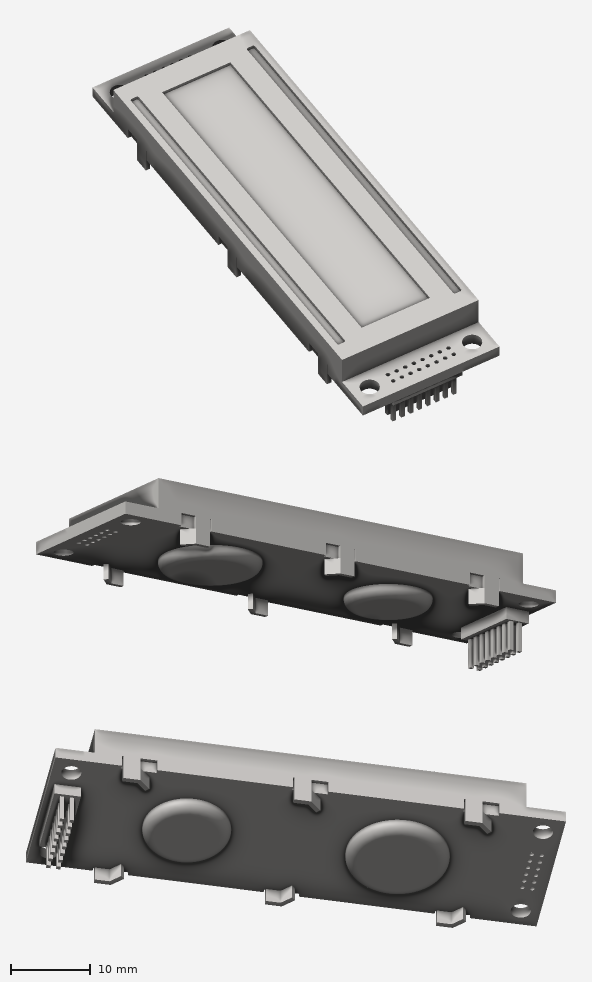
import cadquery as cq
import math


board_length = 65.0
module_width = 20.0
board_thickness = 1.6
bezel_length = 55.0
bezel_height = 3.95
sheet_thickness = 0.5
bezel_top = board_thickness + bezel_height
front_y = -module_width / 2

window_length = 48.0
window_width = 10.0
groove_length = 50.0
groove_width = 1.2
groove_offset = 8.5
groove_corner_radius = 0.25

tab_pitch = 21.8
notch_width = 4.5
tab_drop = 2.0
tab_left = -0.05
tab_right = 2.1
tab_thickness = 0.65
bend_reach = 1.4

end_offset = 30.0
mount_spacing = 15.0
mount_diameter = 2.55
pin_pitch = 1.27
pin_columns = 2
contact_rows = 6
header_rows = 8
contact_diameter = 0.6
header_width = 3.4
header_height = 1.55
pin_side = 0.5
pin_drop = 5.3

blobs = [(-12.95, 6.55), (13.9, 5.6)]
blob_height = 1.55
blob_edge_radius = 1.4


def block(length, width, bottom, top):
    """Block centred on X and Y between two heights."""
    base = cq.Workplane("XY").workplane(offset=bottom)
    return base.rect(length, width).extrude(top - bottom)


def pin_grid(center_x, rows, bottom):
    """Workplane holding the points of a two-column pin pattern."""
    base = cq.Workplane("XY", origin=(center_x, 0, bottom))
    return base.rarray(pin_pitch, pin_pitch, pin_columns, rows)


def make_board():
    board = block(board_length, module_width, 0, board_thickness)
    mount_holes = (
        cq.Workplane("XY")
        .rarray(2 * end_offset, mount_spacing, 2, 2)
        .circle(mount_diameter / 2)
        .extrude(board_thickness)
    )
    board = board.cut(mount_holes)
    for center_x, rows in [(-end_offset, contact_rows), (end_offset, header_rows)]:
        holes = pin_grid(center_x, rows, 0).circle(contact_diameter / 2)
        board = board.cut(holes.extrude(board_thickness))
    return board


def make_bezel():
    bezel = block(bezel_length, module_width, board_thickness, bezel_top)
    recess_floor = bezel_top - sheet_thickness
    bezel = bezel.cut(block(window_length, window_width, recess_floor, bezel_top))
    groove = block(groove_length, groove_width, recess_floor, bezel_top)
    groove = groove.edges("|Z").fillet(groove_corner_radius)
    for side in (-1, 1):
        bezel = bezel.cut(groove.translate((0, side * groove_offset, 0)))
    return bezel


def make_notch():
    """Shallow notch in the front face around one tab."""
    notch = block(notch_width, 2 * sheet_thickness, 0, board_thickness)
    return notch.translate((0, front_y, 0))


def make_tab():
    """Flat tab on the front face whose lower left part is bent inward at 45 degrees."""
    inner_y = front_y + tab_thickness
    flat = (
        cq.Workplane("XY", origin=(0, 0, -tab_drop))
        .moveTo(tab_left, front_y)
        .lineTo(tab_right, front_y)
        .lineTo(tab_right, inner_y)
        .lineTo(tab_left, inner_y)
        .close()
        .extrude(tab_drop + board_thickness)
    )
    end_step = tab_thickness / math.sqrt(2)
    bent = (
        cq.Workplane("XY", origin=(0, 0, -tab_drop))
        .moveTo(tab_left, front_y)
        .line(-bend_reach, bend_reach)
        .line(end_step, end_step)
        .line(bend_reach, -bend_reach)
        .close()
        .extrude(tab_drop)
    )
    return flat.union(bent)


def make_blob(center_x, radius):
    blob = cq.Workplane("XY", origin=(center_x, 0, 0)).circle(radius).extrude(-blob_height)
    return blob.faces("<Z").edges().fillet(blob_edge_radius)


def make_header():
    header_length = header_rows * pin_pitch
    body = block(header_width, header_length, -header_height, 0).translate((end_offset, 0, 0))
    pins = pin_grid(end_offset, header_rows, -pin_drop).rect(pin_side, pin_side)
    return body.union(pins.extrude(pin_drop - header_height))


result = make_board().union(make_bezel())

for index in (-1, 0, 1):
    shift = (index * tab_pitch, 0, 0)
    notch = make_notch().translate(shift)
    tab = make_tab().translate(shift)
    result = result.cut(notch).cut(notch.mirror("XZ"))
    result = result.union(tab).union(tab.mirror("XZ"))

for blob_x, blob_radius in blobs:
    result = result.union(make_blob(blob_x, blob_radius))

result = result.union(make_header())